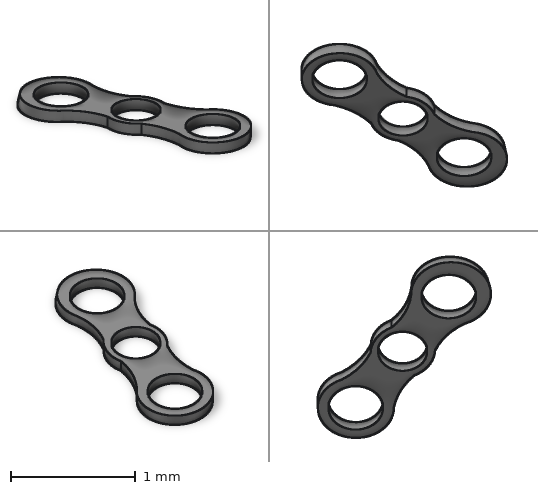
import cadquery as cq
import math

thickness = 0.10

left_hole_x = -0.665
right_hole_x = 0.684
end_hole_radius = 0.219
middle_hole_radius = 0.197
middle_hole_y = 0.003

left_lobe_radius = 0.32
left_lobe_x = -0.699
left_end_lean = 0.022

right_lobe_radius = 0.307
right_end_overhang = 0.004

left_neck_start_x = -0.513
right_neck_start_x = 0.508
neck_half_width = 0.203
boss_half_length = 0.151
boss_edge_half_width = 0.210
boss_half_width = 0.252


def half_width_on_circle(x, center_x, radius):
    """Half width, at x, of a circle centred on the X axis."""
    return math.sqrt(radius**2 - (x - center_x) ** 2)


left_neck_half_width = half_width_on_circle(left_neck_start_x, left_lobe_x, left_lobe_radius)
right_neck_half_width = half_width_on_circle(right_neck_start_x, right_hole_x, right_lobe_radius)
left_neck_middle_x = (left_neck_start_x - boss_half_length) / 2
right_neck_middle_x = (right_neck_start_x + boss_half_length) / 2
left_end_x = left_lobe_x - left_lobe_radius
right_end_x = right_hole_x + right_lobe_radius


def draw_outline(plane, left_x, right_x):
    """Closed outline of the link, reaching from left_x to right_x."""
    return (
        plane.moveTo(left_neck_start_x, -left_neck_half_width)
        .threePointArc((left_neck_middle_x, -neck_half_width), (-boss_half_length, -boss_edge_half_width))
        .threePointArc((0, -boss_half_width), (boss_half_length, -boss_edge_half_width))
        .threePointArc((right_neck_middle_x, -neck_half_width), (right_neck_start_x, -right_neck_half_width))
        .threePointArc((right_x, 0), (right_neck_start_x, right_neck_half_width))
        .threePointArc((right_neck_middle_x, neck_half_width), (boss_half_length, boss_edge_half_width))
        .threePointArc((0, boss_half_width), (-boss_half_length, boss_edge_half_width))
        .threePointArc((left_neck_middle_x, neck_half_width), (left_neck_start_x, left_neck_half_width))
        .threePointArc((left_x, 0), (left_neck_start_x, -left_neck_half_width))
        .close()
    )


def make_body():
    """Link body with ruled sides between its bottom and top outlines."""
    bottom = draw_outline(cq.Workplane("XY"), left_end_x, right_end_x - right_end_overhang)
    top_plane = bottom.workplane(offset=thickness, origin=(0, 0, 0))
    top = draw_outline(top_plane, left_end_x + left_end_lean, right_end_x)
    return top.loft(ruled=True)


def cut_hole(body, x, y, radius):
    """Cut a round hole through the full thickness."""
    return body.cut(cq.Workplane("XY").center(x, y).circle(radius).extrude(thickness))


result = make_body()
for hole_x, hole_y, hole_radius in (
    (left_hole_x, 0, end_hole_radius),
    (0, middle_hole_y, middle_hole_radius),
    (right_hole_x, 0, end_hole_radius),
):
    result = cut_hole(result, hole_x, hole_y, hole_radius)